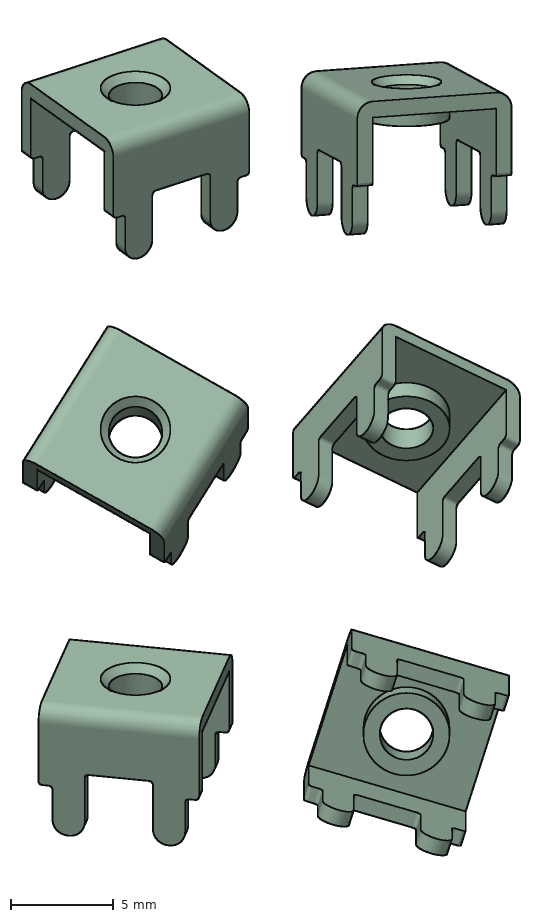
import cadquery as cq

width = 8.0
depth = 8.0
height = 6.85
sheet = 0.8
bend_radius = 0.8

shoulder_drop = 4.2
notch_drop = 3.4
leg_width = 1.6
leg_spacing = 5.0
corner_radius = 0.2

collar_diameter = 4.2
collar_height = 1.0
hole_diameter = 2.6
countersink_diameter = 3.4
countersink_angle = 90.0

shoulder_z = height - shoulder_drop
notch_z = height - notch_drop
leg_inner = (leg_spacing - leg_width) / 2
leg_outer = (leg_spacing + leg_width) / 2
leg_end_radius = leg_width / 2


def make_channel():
    """Folded sheet with rounded outer bends and sharp inner corners."""
    outer = (
        cq.Workplane("XY")
        .box(width, depth, height, centered=(True, True, False))
        .edges("|Y and >Z")
        .fillet(bend_radius)
    )
    inside = cq.Workplane("XY").box(
        width - 2 * sheet, depth, height - sheet, centered=(True, True, False)
    )
    return outer.cut(inside)


def make_wall_profile():
    """Side wall outline with two round-ended legs, extruded across the full width."""
    half_depth = depth / 2
    leg_center = leg_spacing / 2
    body = (
        cq.Workplane("YZ")
        .moveTo(-half_depth, height)
        .lineTo(-half_depth, shoulder_z)
        .lineTo(-leg_outer, shoulder_z)
        .lineTo(-leg_outer, leg_end_radius)
        .threePointArc((-leg_center, 0), (-leg_inner, leg_end_radius))
        .lineTo(-leg_inner, notch_z)
        .lineTo(leg_inner, notch_z)
        .lineTo(leg_inner, leg_end_radius)
        .threePointArc((leg_center, 0), (leg_outer, leg_end_radius))
        .lineTo(leg_outer, shoulder_z)
        .lineTo(half_depth, shoulder_z)
        .lineTo(half_depth, height)
        .close()
        .extrude(width / 2, both=True)
    )
    margin = corner_radius / 2
    corners = cq.selectors.BoxSelector(
        (-width, -depth, shoulder_z - margin), (width, depth, notch_z + margin)
    )
    return body.edges("|X").edges(corners).fillet(corner_radius)


def add_collar(bracket):
    """Round collar under the top sheet with a countersunk through hole."""
    collar = (
        cq.Workplane("XY")
        .workplane(offset=height - sheet - collar_height)
        .circle(collar_diameter / 2)
        .extrude(collar_height + sheet / 2)
    )
    return (
        bracket.union(collar)
        .faces(">Z")
        .workplane(origin=(0, 0, height))
        .cskHole(hole_diameter, countersink_diameter, countersink_angle)
    )


result = add_collar(make_channel().intersect(make_wall_profile()))